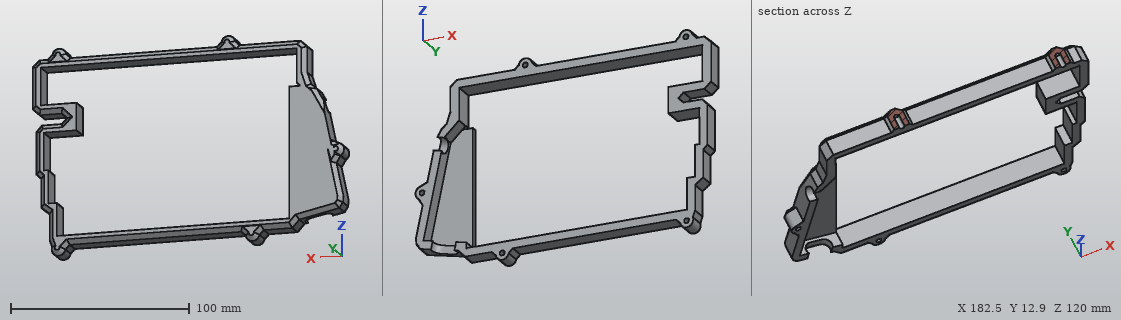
import cadquery as cq
import math

DEPTH = 12.9
HEIGHT = 119.96
LENGTH = 182.54
CHAMFER = 2.7
WALL = 5.0
SIDE_WALL = 5.5

BOSS_RADIUS = 4.1
BOSS_OVERHANG = 1.75
BOSS_HALF_FOOT = 6.6
BOSS_CROWN = 2.4
HOLE_DIAMETER = 3.0
HOLE_DEPTH = 8.0
DRILL_TIP_ANGLE = 118.0

TOP = HEIGHT - BOSS_RADIUS - BOSS_OVERHANG
BOTTOM = BOSS_RADIUS + BOSS_OVERHANG
OPENING_TOP = TOP - WALL
OPENING_BOTTOM = BOTTOM + WALL
LEFT = 21.45
OPENING_LEFT = LEFT + SIDE_WALL
OPENING_RIGHT = LENGTH - SIDE_WALL

TOP_BOSS_Z = TOP + BOSS_OVERHANG
BOTTOM_BOSS_Z = BOTTOM - BOSS_OVERHANG
UPPER_LEFT_BOSS = (67.85, TOP_BOSS_Z)
UPPER_RIGHT_BOSS = (167.0, TOP_BOSS_Z)
LOWER_BOSS = (53.6, BOTTOM_BOSS_Z)
CORNER_BOSS = (167.4, BOTTOM_BOSS_Z)
LEFT_BOSS = (BOSS_RADIUS, 49.2)

CORNER_CUT_X = 4.2
CORNER_CUT_Z = 3.7
LOWER_CUT_X = 3.3

RIGHT_X = LENGTH - 2.2
MIDDLE_X = 177.6
LOWER_X = 172.65
UPPER_JOG_INNER_Z = 49.3
LOWER_JOG_INNER_Z = 30.0
UPPER_JOG_START_Z = 48.0
UPPER_JOG_END_Z = 45.4
LOWER_JOG_START_Z = 28.6
LOWER_JOG_END_Z = 24.8
TAPER_START_Z = 9.4
FOOT_TAPER = 1.35
TONGUE_X = 156.1
TONGUE_TOP = 87.25
TONGUE_BOTTOM = 71.25
NOTCH_TOP = TONGUE_TOP - WALL
NOTCH_BOTTOM = TONGUE_BOTTOM + WALL
NOTCH_SHOULDER_X = 165.5
NOTCH_TIP_X = 162.4

TILT = math.radians(12.0)
POCKET_CORNER = (4.95, 20.0)
FLOOR_THICKNESS = 4.0
FLOOR_EDGE_X = 31.35
FLOOR_TOP = TONGUE_TOP
POCKET_SHOULDER_Z = 89.2
POCKET_ELBOW_Z = 80.3
BOTTOM_START_X = 30.3
TILTED_END_X = 26.2
CORNER_START_X = 2.8
CORNER_MIDDLE = (0.6, 18.5)
CORNER_END_Z = 22.0

SHOULDER_Z = 95.2
KNEE = (19.25, 88.5)
ELBOW = (15.9, 85.5)
WALL_TOP_Z = 78.5
STEP_UPPER_Z = 74.1
STEP_LOWER_Z = 72.5
STEP = 0.25
THICK_WALL = WALL + STEP

CABLE_RADIUS = 4.5
CABLE_CENTRE_DEPTH = 2.3
CUTTER_LENGTH = 8.0
ROUND_OPENING_Z = 76.5
SLOT_START = 9.7
SLOT_STRAIGHT = 7.1


def left_wall_x(z, offset=0.0):
    """X of the tilted left wall's inner face at height z, moved outward by offset."""
    return POCKET_CORNER[0] + (z - POCKET_CORNER[1]) * math.tan(TILT) - offset / math.cos(TILT)


def bottom_wall_z(x, offset=0.0):
    """Z of the tilted bottom wall's inner face at x, moved outward by offset."""
    return POCKET_CORNER[1] - (x - POCKET_CORNER[0]) * math.tan(TILT) - offset / math.cos(TILT)


def outline(points):
    """Closed polygon in the X-Z plane at y = 0."""
    return cq.Workplane("XZ").polyline(points).close()


def prism(points, depth):
    """Polygon in X-Z, extruded from the open side to the given depth."""
    return outline(points).extrude(-depth)


def chamfered(closed_outline):
    """Full-depth solid of a closed X-Z outline, its back rim chamfered."""
    return closed_outline.extrude(-DEPTH).faces(">Y").chamfer(CHAMFER)


STEPPED_WALL = [
    (left_wall_x(WALL_TOP_Z, THICK_WALL), WALL_TOP_Z),
    (left_wall_x(STEP_UPPER_Z, THICK_WALL), STEP_UPPER_Z),
    (left_wall_x(STEP_LOWER_Z, WALL), STEP_LOWER_Z),
]

RIM = [
    (LEFT + CORNER_CUT_X, TOP),
    (LENGTH - CORNER_CUT_X, TOP),
    (LENGTH, TOP - CORNER_CUT_Z),
    (LENGTH, NOTCH_TOP + CORNER_CUT_Z),
    (LENGTH - CORNER_CUT_X, NOTCH_TOP),
    (NOTCH_SHOULDER_X, NOTCH_TOP),
    (NOTCH_TIP_X, (NOTCH_TOP + NOTCH_BOTTOM) / 2),
    (NOTCH_SHOULDER_X, NOTCH_BOTTOM),
    (RIGHT_X - LOWER_CUT_X, NOTCH_BOTTOM),
    (RIGHT_X, NOTCH_BOTTOM - CORNER_CUT_Z),
    (RIGHT_X, UPPER_JOG_START_Z),
    (MIDDLE_X, UPPER_JOG_END_Z),
    (MIDDLE_X, LOWER_JOG_START_Z),
    (LOWER_X, LOWER_JOG_END_Z),
    (LOWER_X, TAPER_START_Z),
    (LOWER_X - FOOT_TAPER, BOTTOM),
    (BOTTOM_START_X, BOTTOM),
    (TILTED_END_X, bottom_wall_z(TILTED_END_X, WALL)),
    (CORNER_START_X, bottom_wall_z(CORNER_START_X, WALL)),
    CORNER_MIDDLE,
    (left_wall_x(CORNER_END_Z, WALL), CORNER_END_Z),
    *reversed(STEPPED_WALL),
    ELBOW,
    KNEE,
    (LEFT, SHOULDER_Z),
    (LEFT, TOP - CORNER_CUT_Z),
]

OPENING = [
    (OPENING_LEFT, OPENING_TOP),
    (OPENING_RIGHT, OPENING_TOP),
    (OPENING_RIGHT, TONGUE_TOP),
    (TONGUE_X, TONGUE_TOP),
    (TONGUE_X, TONGUE_BOTTOM),
    (RIGHT_X - WALL, TONGUE_BOTTOM),
    (RIGHT_X - WALL, UPPER_JOG_INNER_Z),
    (MIDDLE_X - WALL, UPPER_JOG_INNER_Z),
    (MIDDLE_X - WALL, LOWER_JOG_INNER_Z),
    (LOWER_X - WALL, LOWER_JOG_INNER_Z),
    (LOWER_X - WALL, OPENING_BOTTOM),
    (FLOOR_EDGE_X, OPENING_BOTTOM),
    (FLOOR_EDGE_X, FLOOR_TOP),
    (OPENING_LEFT - (POCKET_SHOULDER_Z - FLOOR_TOP), FLOOR_TOP),
    (OPENING_LEFT, POCKET_SHOULDER_Z),
]

POCKET = [
    POCKET_CORNER,
    (left_wall_x(POCKET_ELBOW_Z), POCKET_ELBOW_Z),
    (OPENING_LEFT, POCKET_SHOULDER_Z),
    (FLOOR_EDGE_X, POCKET_SHOULDER_Z),
    (FLOOR_EDGE_X, bottom_wall_z(FLOOR_EDGE_X)),
]

LEFT_BOSS_PAD = [
    (7.3, 55.1),
    (2.6, 53.0),
    (2.0, 45.5),
    (4.3, 41.8),
    (7.7, 36.3),
    (14.0, 58.1),
]
CORNER_PAD_LEFT = CORNER_BOSS[0] - BOSS_HALF_FOOT - WALL
CORNER_BOSS_PAD = [
    (CORNER_PAD_LEFT, OPENING_BOTTOM),
    (CORNER_BOSS[0] - BOSS_CROWN, BOTTOM_BOSS_Z - BOSS_CROWN),
    (LOWER_X - 2 * FOOT_TAPER, BOTTOM_BOSS_Z - BOSS_CROWN),
    (LOWER_X, TAPER_START_Z),
    (LOWER_X, OPENING_BOTTOM + WALL),
    (CORNER_PAD_LEFT, OPENING_BOTTOM + WALL),
]


def level_pad(centre, outward):
    """Pad with 45-degree flanks for a level wall; outward is +1 at the top and -1 at the bottom."""
    x, z = centre
    root_half = BOSS_HALF_FOOT + WALL
    root_z = z - outward * (BOSS_OVERHANG + WALL)
    crown_half = BOSS_HALF_FOOT - BOSS_OVERHANG - BOSS_CROWN
    crown_z = z + outward * BOSS_CROWN
    return [
        (x - root_half, root_z),
        (x - crown_half, crown_z),
        (x + crown_half, crown_z),
        (x + root_half, root_z),
    ]


BOSSES = [
    (UPPER_LEFT_BOSS, level_pad(UPPER_LEFT_BOSS, 1)),
    (UPPER_RIGHT_BOSS, level_pad(UPPER_RIGHT_BOSS, 1)),
    (LOWER_BOSS, level_pad(LOWER_BOSS, -1)),
    (CORNER_BOSS, CORNER_BOSS_PAD),
    (LEFT_BOSS, LEFT_BOSS_PAD),
]


def boss(centre, pad):
    """Round chamfered post joined to the wall by a chamfered pad."""
    post = cq.Workplane("XZ").center(*centre).circle(BOSS_RADIUS)
    return chamfered(post).union(chamfered(outline(pad)))


def screw_hole(centre):
    """Blind hole from the open side, ending in a drill tip."""
    radius = HOLE_DIAMETER / 2
    tip = radius / math.tan(math.radians(DRILL_TIP_ANGLE / 2))
    profile = [(0, 0), (radius, 0), (radius, HOLE_DEPTH), (0, HOLE_DEPTH + tip)]
    hole = cq.Workplane("XY").polyline(profile).close().revolve(360, (0, 0), (0, 1))
    return hole.translate((centre[0], 0, centre[1]))


def full_depth_wall():
    """Left wall from elbow to boss, trimmed only by the chamfer of the slanted face above it."""
    wall_top = STEPPED_WALL[0]
    boss_z = LEFT_BOSS[1]
    band = [
        ELBOW,
        *STEPPED_WALL,
        (left_wall_x(boss_z, WALL), boss_z),
        (left_wall_x(boss_z), boss_z),
        (left_wall_x(ELBOW[1]), ELBOW[1]),
    ]
    reach = 8
    run = wall_top[0] - ELBOW[0]
    drop = wall_top[1] - ELBOW[1]
    far_start = (ELBOW[0] - run, ELBOW[1] - drop)
    far_end = (ELBOW[0] + reach * run, ELBOW[1] + reach * drop)
    guard = [far_start, far_end, (LENGTH / 2, far_end[1]), (LENGTH / 2, far_start[1])]
    return prism(band, DEPTH).intersect(chamfered(outline(guard)))


def cable_cutter(x, z, angle, straight=0.0):
    """Rounded cutter from a tilted wall's inner face at (x, z) out through the wall.

    Before it is turned by angle about Y, it runs along -Z and its straight stretch along +X.
    """
    axis_start = cq.Workplane("XY").center(0, CABLE_CENTRE_DEPTH)
    cutter = axis_start.circle(CABLE_RADIUS).extrude(-CUTTER_LENGTH)
    if straight > 0:
        far_end = cutter.translate((straight, 0, 0))
        middle = axis_start.center(straight / 2, 0).rect(straight, 2 * CABLE_RADIUS)
        cutter = cutter.union(middle.extrude(-CUTTER_LENGTH)).union(far_end)
    return cutter.rotate((0, 0, 0), (0, 1, 0), angle).translate((x, 0, z))


frame = chamfered(outline(RIM)).union(full_depth_wall())
for boss_centre, boss_pad in BOSSES:
    frame = frame.union(boss(boss_centre, boss_pad))

frame = frame.cut(prism(OPENING, DEPTH))
frame = frame.cut(prism(POCKET, DEPTH - FLOOR_THICKNESS))

for boss_centre, _ in BOSSES:
    frame = frame.cut(screw_hole(boss_centre))

tilt_degrees = math.degrees(TILT)
round_x = left_wall_x(ROUND_OPENING_Z)
frame = frame.cut(cable_cutter(round_x, ROUND_OPENING_Z, tilt_degrees + 90))
slot_x = POCKET_CORNER[0] + SLOT_START * math.cos(TILT)
frame = frame.cut(cable_cutter(slot_x, bottom_wall_z(slot_x), tilt_degrees, SLOT_STRAIGHT))

result = frame